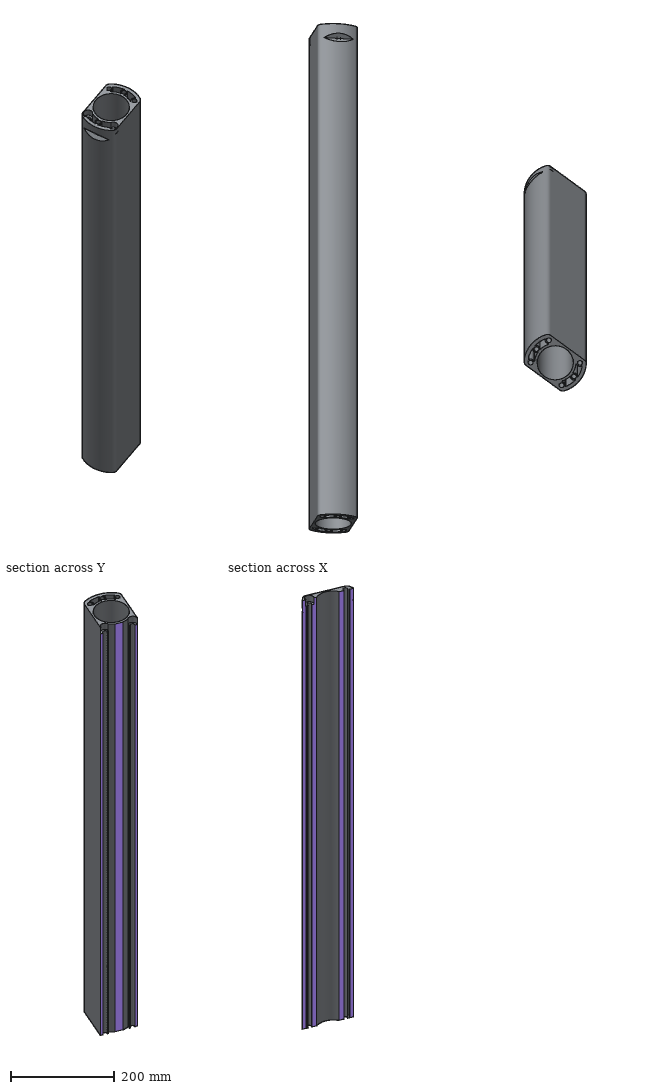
import cadquery as cq
import math

width = 78.0
depth = 120.0
length = 1000.0
crown_radius = 63.0
corner_fillet = 10.0
crown_center_y = depth / 2 - crown_radius

bore_diameter = 70.0

screw_diameter = 9.4
screw_x = 29.0
screw_y = 38.0

counterbore_diameter = 18.0
counterbore_depth = 15.0

middle_diameter = 9.5
middle_y = 46.0

inner_wall = 5.0
outer_wall = 7.5
boss_wall = 2.5
pocket_half_width = 26.0
pocket_inner_y = 34.0

notch_z = 972.0
notch_depth = 7.0
notch_half_height = 8.5

screw_points = [(sx * screw_x, sy * screw_y) for sx in (-1, 1) for sy in (-1, 1)]
middle_points = [(0, sy * middle_y) for sy in (-1, 1)]
counterbore_points = [(sx * screw_x, -screw_y) for sx in (-1, 1)]


def crowned_prism(radius, half_width):
    """Full-length prism with flat sides, closed by arcs concentric with the crowns."""
    crown_y = crown_center_y + radius
    edge_y = crown_center_y + math.sqrt(radius**2 - half_width**2)
    return (
        cq.Workplane("XY")
        .moveTo(-half_width, -edge_y)
        .threePointArc((0, -crown_y), (half_width, -edge_y))
        .lineTo(half_width, edge_y)
        .threePointArc((0, crown_y), (-half_width, edge_y))
        .close()
        .extrude(length)
    )


def cylinders(points, diameter):
    """Full-length vertical cylinders at the given points."""
    return cq.Workplane("XY").pushPoints(points).circle(diameter / 2).extrude(length)


def pockets():
    """Four full-length pockets, cleared around the bore and the channel bosses."""
    void = crowned_prism(crown_radius - outer_wall, pocket_half_width)
    void = void.cut(cq.Workplane("XY").rect(width, 2 * pocket_inner_y).extrude(length))
    void = void.cut(cylinders([(0, 0)], bore_diameter + 2 * inner_wall))
    void = void.cut(cylinders(screw_points, screw_diameter + 2 * boss_wall))
    return void.cut(cylinders(middle_points, middle_diameter + 2 * boss_wall))


def counterbores():
    """Short cylinders that widen the -Y screw channels at the top end."""
    return (
        cq.Workplane("XY", origin=(0, 0, length - counterbore_depth))
        .pushPoints(counterbore_points)
        .circle(counterbore_diameter / 2)
        .extrude(counterbore_depth)
    )


def notch(side):
    """V-shaped cutter along X for the crown on the given Y side."""
    root_y = side * (depth / 2 - notch_depth)
    mouth_y = side * (depth / 2 + notch_depth)
    mouth_half_height = 2 * notch_half_height
    return (
        cq.Workplane("YZ")
        .moveTo(root_y, notch_z)
        .lineTo(mouth_y, notch_z + mouth_half_height)
        .lineTo(mouth_y, notch_z - mouth_half_height)
        .close()
        .extrude(width / 2, both=True)
    )


result = crowned_prism(crown_radius, width / 2).edges("|Z").fillet(corner_fillet)
result = result.cut(cylinders([(0, 0)], bore_diameter))
result = result.cut(pockets())
result = result.cut(cylinders(screw_points, screw_diameter))
result = result.cut(cylinders(middle_points, middle_diameter))
result = result.cut(counterbores())
for side in (-1, 1):
    result = result.cut(notch(side))